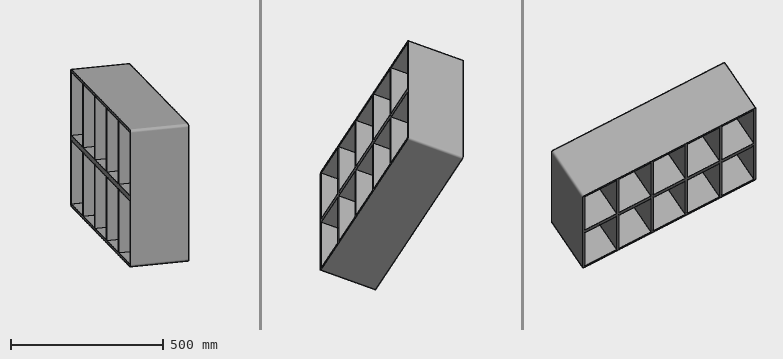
import cadquery as cq

width = 662.5
depth = 200.0
height = 476.0

wall = 9.0
middle_shelf = 2 * wall
corner_radius = wall

columns = 5
rows = 2
cell_width = (width - (columns + 1) * wall) / columns
cell_height = (height - 2 * wall - middle_shelf) / rows
column_pitch = cell_width + wall
row_pitch = cell_height + middle_shelf

body = cq.Workplane("XY").box(width, depth, height).edges("|Y").fillet(corner_radius)

compartments = (
    cq.Workplane("XZ")
    .rarray(column_pitch, row_pitch, columns, rows)
    .rect(cell_width, cell_height)
    .extrude(depth, both=True)
)

result = body.cut(compartments)